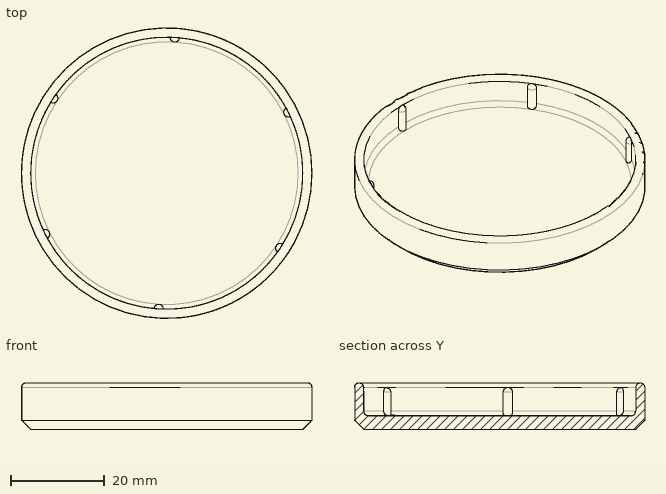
import cadquery as cq

outer_diameter = 62
height = 10.0
wall = 2.0
floor_thickness = 3.0
bottom_chamfer = 2.0
floor_fillet = 1.0

pin_count = 6
pin_diameter = 2.0
pin_tip_height = 9.0
first_pin_angle = 26.6

outer_radius = outer_diameter / 2
inner_radius = outer_radius - wall
rim_radius = wall / 2
pin_radius = pin_diameter / 2


def make_tray():
    """Round tray with a bevelled base, a full-round rim and a filleted floor corner."""
    rim_base = height - rim_radius
    profile = (
        cq.Workplane("XZ")
        .lineTo(outer_radius - bottom_chamfer, 0)
        .lineTo(outer_radius, bottom_chamfer)
        .lineTo(outer_radius, rim_base)
        .threePointArc((outer_radius - rim_radius, height), (inner_radius, rim_base))
        .lineTo(inner_radius, floor_thickness + floor_fillet)
        .radiusArc((inner_radius - floor_fillet, floor_thickness), floor_fillet)
        .lineTo(0, floor_thickness)
        .close()
    )
    return profile.revolve(360, (0, 0, 0), (0, 1, 0))


def pin_positions(level):
    """Workplane at the given height with one point per pin on the inner wall face."""
    plane = cq.Workplane("XY", origin=(0, 0, level))
    return plane.polarArray(inner_radius, first_pin_angle, 360, pin_count)


def make_pins():
    """Ring of vertical pins rooted in the floor, each with a domed tip."""
    pin_base = floor_thickness / 2
    dome_base = pin_tip_height - pin_radius
    stems = pin_positions(pin_base).circle(pin_radius).extrude(dome_base - pin_base)
    domes = pin_positions(dome_base).sphere(pin_radius)
    return stems.union(domes)


result = make_tray().union(make_pins())